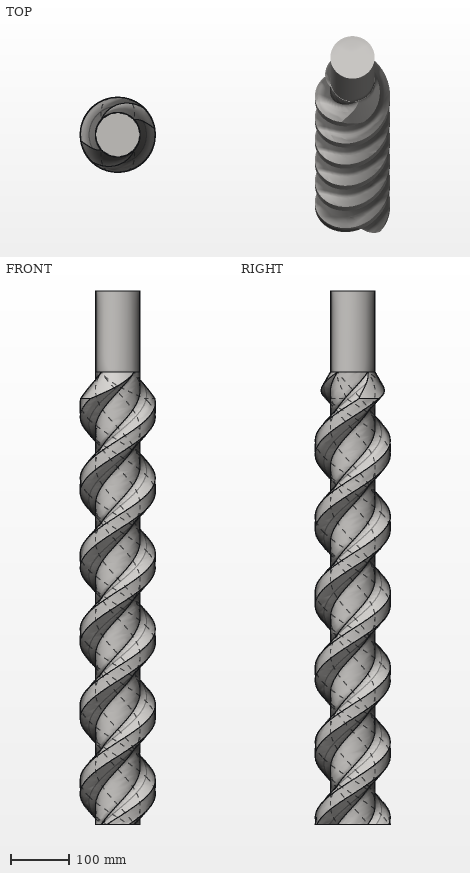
import cadquery as cq
import math

total_length = 920.0
shank_length = 140.0
shank_diameter = 76.0
thread_length = total_length - shank_length
turns = 3

core_radius = 39.0
tip_diameter = 130.0
tip_radius = tip_diameter / 2
tip_half_angle = 17.0
lobe_width = 57.0
shoulder_height = 40.5
shoulder_middle = (26.0, 52.0)

runout_length = 46.0
envelope_clearance = 9.0


def polar(radius, angle):
    """Point at an angle in degrees, counter-clockwise from +X."""
    radians = math.radians(angle)
    return radius * math.cos(radians), radius * math.sin(radians)


def unchanged(point):
    """Keep a section point where it is."""
    return point


def mirrored(point):
    """Mirror a section point across the lobe axis."""
    return -point[0], point[1]


def opposite(point):
    """Turn a section point half a turn about the axis."""
    return -point[0], -point[1]


def lobed_section():
    """Core circle with two round-shouldered lobes along Y."""
    side_x = lobe_width / 2
    root = (side_x, math.sqrt(core_radius**2 - side_x**2))
    shoulder = (side_x, shoulder_height)
    tip = polar(tip_radius, 90 - tip_half_angle)
    section = cq.Workplane("XY").moveTo(*root)
    for place in (unchanged, opposite):
        section = (
            section.lineTo(*place(shoulder))
            .threePointArc(place(shoulder_middle), place(tip))
            .threePointArc(place((0, tip_radius)), place(mirrored(tip)))
            .threePointArc(place(mirrored(shoulder_middle)), place(mirrored(shoulder)))
            .lineTo(*place(mirrored(root)))
            .threePointArc(place((-core_radius, 0)), place(opposite(root)))
        )
    return section.close()


def runout_envelope():
    """Round blank that tapers from the lobe tips to the core."""
    envelope_radius = tip_radius + envelope_clearance
    taper_start = thread_length - runout_length
    return (
        cq.Workplane("XZ")
        .moveTo(0, 0)
        .lineTo(envelope_radius, 0)
        .lineTo(envelope_radius, taper_start)
        .lineTo(tip_radius, taper_start)
        .lineTo(core_radius, thread_length)
        .lineTo(0, thread_length)
        .close()
        .revolve(360, (0, 0, 0), (0, 1, 0))
    )


thread = lobed_section().twistExtrude(thread_length, 360 * turns).intersect(runout_envelope())
shank = cq.Workplane("XY").workplane(offset=thread_length).circle(shank_diameter / 2).extrude(shank_length)

result = thread.union(shank)